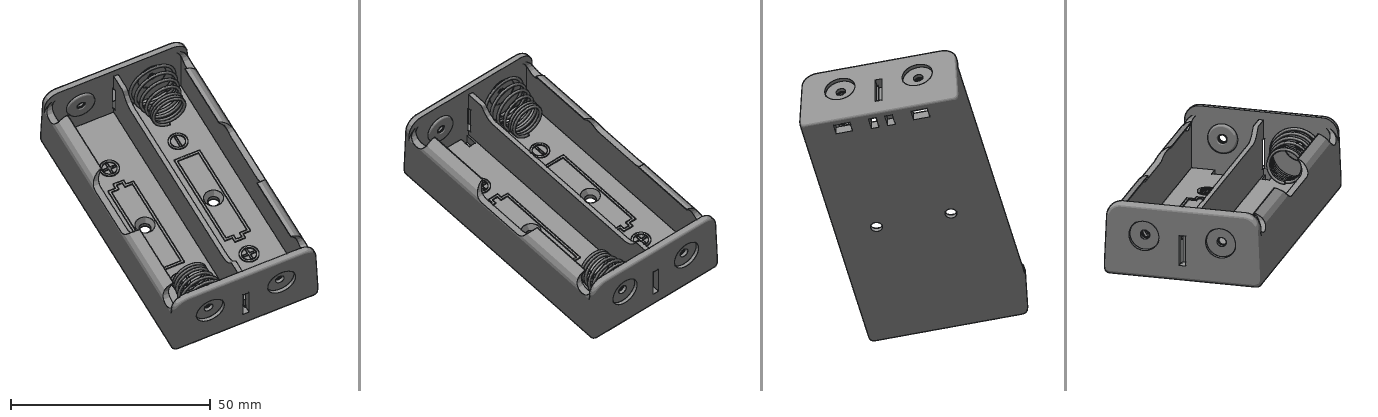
import cadquery as cq
import math

LENGTH = 75.0
WIDTH = 41.0
HEIGHT = 19.2
WALL = 1.95
FLOOR = 2.5
INNER_X = LENGTH / 2 - WALL
INNER_Y = 18.15
END_EDGE_FILLET = 1.0
BOTTOM_ROUND = 1.5
TOP_CORNER_RADIUS = 4.0

WALL_TOP = 13.5
WALL_TOP_HALF = 20.0
LIP_REACH = 3.6
LIP_BULGE = 0.75
LIP_TOP = WALL_TOP + LIP_REACH
LIP_TIP_Y = WALL_TOP_HALF - LIP_REACH
VALLEY_Z = 13.95
LIP_EDGE = 0.2
LIP_SPRING_Z = VALLEY_Z

SIDE_DRAFT = (WIDTH / 2 - WALL_TOP_HALF) / (WALL_TOP - FLOOR)
PLATE_TOP_HALF = WIDTH / 2 - SIDE_DRAFT * (HEIGHT - FLOOR)

WALL_VALLEY_TOP_X = 10.8
WALL_VALLEY_SLOPE = 54.0
WALL_VALLEY_FILLET = 3.0

FINGER_NOTCH_RADIUS = 2.9
FINGER_NOTCH_X = INNER_X - FINGER_NOTCH_RADIUS

DIVIDER_THICKNESS = 1.3
DIVIDER_STEP_X = 30.5
DIVIDER_SLOPE = 51.0
DIVIDER_TOP_FILLET = 1.0
DIVIDER_FOOT_FILLET = 5.0

TERMINAL_Y = 10.0
TERMINAL_Z = 11.1
RECESS_DIAMETER = 7.8
RECESS_DEPTH = 1.0
TERMINAL_HOLE_DIAMETER = 2.4
SLOT_WIDTH = 1.7
SLOT_BOTTOM = 4.1
SLOT_TOP = 12.1
SLOT_DEPTH = 2.8

CELL_Y = 9.6
SCREW_HOLE_DIAMETER = 3.0
SCREW_SINK_DIAMETER = 5.0
SCREW_SINK_DEPTH = 1.35
WIRE_HOLE_LENGTH = 3.2
WIRE_HOLE_Y = (1.1, 3.1)
TAB_HOLE_LENGTH = 2.85
TAB_HOLE_Y = (7.9, 12.1)

MARK_HEIGHT = 0.3
MARK_X = 19.95
RING_DIAMETER = 5.0
RING_INNER_DIAMETER = 3.8
SIGN_LENGTH = 3.45
SIGN_WIDTH = 0.5
CELL_OUTLINE_LENGTH = 28.6
CELL_OUTLINE_WIDTH = 7.2
CELL_NUB_LENGTH = 1.4
CELL_NUB_WIDTH = 3.0
CELL_OUTLINE_STROKE = 0.7

TERMINAL_DIAMETER = 7.8
TERMINAL_BORE_DIAMETER = 2.0
WASHER_THICKNESS = 0.3
CONTACT_THICKNESS = 0.8
CONTACT_EDGE_FILLET = 0.6
CONTACT_MOUTH_FILLET = 0.3
CONTACT_SINK_DEPTH = 0.5

SPRING_Y = 9.4
SPRING_Z = 9.6
WIRE_DIAMETER = 0.75
SPRING_BASE_RADIUS = 6.7
SPRING_TIP_RADIUS = 4.4
CONE_TURNS = 4.5
CONE_PITCH = 1.99
TIP_TURNS = 2.5
TIP_PITCH = 0.8
POINTS_PER_TURN = 12


def box_between(x, y, z):
    """Box spanning the given (low, high) pairs."""
    size = [high - low for low, high in (x, y, z)]
    return cq.Workplane("XY").box(*size, centered=False).translate((x[0], y[0], z[0]))


def x_cylinder(diameter, x_start, length, y, z):
    """Cylinder along X; a negative length runs towards -X."""
    return cq.Workplane("YZ", origin=(x_start, y, z)).circle(diameter / 2).extrude(length)


def add_bottom_round(outline):
    """Continue an outline from the draft line down to the underside and in to the middle plane."""
    half = WIDTH / 2
    diagonal = BOTTOM_ROUND * (1 - math.sqrt(0.5))
    return (
        outline.lineTo(half, FLOOR)
        .spline(
            [(half - diagonal, diagonal), (half - BOTTOM_ROUND, 0)],
            tangents=[(0, -1), (-1, 0)],
            includeCurrent=True,
        )
        .lineTo(0, 0)
    )


def extrude_both_halves(outline, length):
    """Close a +Y half outline, extrude it along X and add its mirror image."""
    half = outline.close().extrude(length)
    return half.union(half.mirror("XZ")).clean()


def end_plates():
    """Both rounded end walls, cut from one drafted block."""
    outline = cq.Workplane("YZ", origin=(-LENGTH / 2, 0, 0)).moveTo(0, HEIGHT).lineTo(PLATE_TOP_HALF, HEIGHT)
    block = extrude_both_halves(add_bottom_round(outline), LENGTH)
    block = block.edges("|X").edges(">Z").fillet(TOP_CORNER_RADIUS)
    block = block.faces("<X or >X").edges().fillet(END_EDGE_FILLET)
    return block.cut(box_between((-INNER_X, INNER_X), (-WIDTH, WIDTH), (-0.75, HEIGHT + 0.75)))


def tray():
    """Floor and side walls between the end plates, with each wall curling into a lip."""
    arc_middle = LIP_REACH / 2 + LIP_BULGE * math.sqrt(0.5)
    outline = (
        cq.Workplane("YZ", origin=(-INNER_X, 0, 0))
        .moveTo(0, FLOOR)
        .lineTo(INNER_Y, FLOOR)
        .lineTo(INNER_Y, LIP_SPRING_Z)
        .tangentArcPoint((LIP_TIP_Y, LIP_TOP - LIP_EDGE), relative=False)
        .lineTo(LIP_TIP_Y, LIP_TOP)
        .threePointArc(
            (LIP_TIP_Y + arc_middle, WALL_TOP + arc_middle),
            (WALL_TOP_HALF, WALL_TOP),
        )
    )
    return extrude_both_halves(add_bottom_round(outline), 2 * INNER_X)


def wall_valley():
    """Cutter for the sloped opening in the middle of both side walls."""
    run = (LIP_TOP - VALLEY_Z) / math.tan(math.radians(WALL_VALLEY_SLOPE))
    foot_x = WALL_VALLEY_TOP_X - run
    return (
        cq.Workplane("XZ", origin=(0, WIDTH / 2, 0))
        .polyline([
            (-WALL_VALLEY_TOP_X, LIP_TOP), (-foot_x, VALLEY_Z),
            (foot_x, VALLEY_Z), (WALL_VALLEY_TOP_X, LIP_TOP),
        ])
        .close()
        .extrude(WIDTH)
        .edges("|Y").edges("<Z")
        .fillet(WALL_VALLEY_FILLET)
    )


def finger_notch(side):
    """Cutter for the U-shaped notches next to one end wall."""
    x = side * FINGER_NOTCH_X
    r = FINGER_NOTCH_RADIUS
    centre_z = WALL_TOP + r
    return (
        cq.Workplane("XZ", origin=(0, WIDTH / 2, 0))
        .moveTo(x - r, HEIGHT)
        .lineTo(x - r, centre_z)
        .threePointArc((x, WALL_TOP), (x + r, centre_z))
        .lineTo(x + r, HEIGHT)
        .close()
        .extrude(WIDTH)
    )


def divider():
    """Thin wall between the two bays, low in the middle and stepped up at both ends."""
    run = (LIP_TOP - VALLEY_Z) / math.tan(math.radians(DIVIDER_SLOPE))
    foot_x = DIVIDER_STEP_X - run
    wall = (
        cq.Workplane("XZ", origin=(0, DIVIDER_THICKNESS / 2, 0))
        .polyline([
            (-INNER_X, FLOOR), (INNER_X, FLOOR), (INNER_X, LIP_TOP), (DIVIDER_STEP_X, LIP_TOP),
            (foot_x, VALLEY_Z), (-foot_x, VALLEY_Z), (-DIVIDER_STEP_X, LIP_TOP), (-INNER_X, LIP_TOP),
        ])
        .close()
        .extrude(DIVIDER_THICKNESS)
    )
    for x, z, radius in (
        (DIVIDER_STEP_X, LIP_TOP, DIVIDER_TOP_FILLET),
        (foot_x, VALLEY_Z, DIVIDER_FOOT_FILLET),
    ):
        for side in (-1, 1):
            corner = cq.selectors.NearestToPointSelector((side * x, 0, z))
            wall = wall.edges("|Y").edges(corner).fillet(radius)
    return wall


def cell_outline(y, nub_side):
    """Raised battery outline on the floor, its nub pointing along nub_side * X."""
    nub_end = (CELL_OUTLINE_LENGTH + CELL_NUB_LENGTH) / 2
    shoulder = nub_end - CELL_NUB_LENGTH
    half = CELL_OUTLINE_WIDTH / 2
    nub_half = CELL_NUB_WIDTH / 2
    outline = (
        cq.Workplane("XY", origin=(0, y, FLOOR))
        .polyline([
            (nub_side * px, py) for px, py in (
                (-nub_end, -half), (shoulder, -half), (shoulder, -nub_half), (nub_end, -nub_half),
                (nub_end, nub_half), (shoulder, nub_half), (shoulder, half), (-nub_end, half),
            )
        ])
        .close()
    )
    solid = outline.extrude(MARK_HEIGHT)
    inside = solid.faces("<Z").wires().toPending().offset2D(-CELL_OUTLINE_STROKE, "intersection")
    return solid.cut(inside.extrude(MARK_HEIGHT, combine=False))


def polarity_mark(x, y, positive):
    """Raised ring with a plus or a minus sign in it."""
    plane = cq.Workplane("XY", origin=(x, y, FLOOR))
    mark = plane.circle(RING_DIAMETER / 2).circle(RING_INNER_DIAMETER / 2).extrude(MARK_HEIGHT)
    mark = mark.union(plane.rect(SIGN_LENGTH, SIGN_WIDTH).extrude(MARK_HEIGHT))
    if positive:
        mark = mark.union(plane.rect(SIGN_WIDTH, SIGN_LENGTH).extrude(MARK_HEIGHT))
    return mark


def screw_hole(y):
    """Cutter for a countersunk hole through the floor."""
    sink_bottom = FLOOR - SCREW_SINK_DEPTH
    hole = cq.Workplane("XY", origin=(0, y, 0)).circle(SCREW_HOLE_DIAMETER / 2).extrude(FLOOR)
    sink = (
        cq.Workplane("XY", origin=(0, y, sink_bottom))
        .circle(SCREW_HOLE_DIAMETER / 2)
        .workplane(offset=SCREW_SINK_DEPTH)
        .circle(SCREW_SINK_DIAMETER / 2)
        .loft()
    )
    return hole.union(sink)


def floor_windows(side):
    """Cutters for the wire hole and tab hole of one bay, both against the +X end wall."""
    cutters = []
    for length, span in ((WIRE_HOLE_LENGTH, WIRE_HOLE_Y), (TAB_HOLE_LENGTH, TAB_HOLE_Y)):
        y = sorted(side * edge for edge in span)
        cutters.append(box_between((INNER_X - length, INNER_X), y, (0, FLOOR)))
    return cutters


def end_wall_cutters(side):
    """Recesses, terminal holes and tab slot of one end wall."""
    outer = side * LENGTH / 2
    cutters = []
    for y in (-TERMINAL_Y, TERMINAL_Y):
        cutters.append(x_cylinder(RECESS_DIAMETER, outer, -side * RECESS_DEPTH, y, TERMINAL_Z))
        cutters.append(x_cylinder(TERMINAL_HOLE_DIAMETER, outer, -side * WALL, y, TERMINAL_Z))
    slot_x = sorted((outer, outer - side * SLOT_DEPTH))
    cutters.append(box_between(slot_x, (-SLOT_WIDTH / 2, SLOT_WIDTH / 2), (SLOT_BOTTOM, SLOT_TOP)))
    return cutters


def make_housing():
    walls = tray().cut(wall_valley())
    for side in (-1, 1):
        walls = walls.cut(finger_notch(side))
    body = end_plates().union(walls).union(divider())

    for side in (-1, 1):
        y = side * CELL_Y
        cutters = end_wall_cutters(side) + floor_windows(side)
        cutters.append(screw_hole(y))
        for cutter in cutters:
            body = body.cut(cutter)
        body = body.union(cell_outline(y, side))
        body = body.union(polarity_mark(side * MARK_X, y, True))
        body = body.union(polarity_mark(-side * MARK_X, y, False))
    return body.solids()


def terminal_disc(x_side, y, thickness):
    """Disc with a central bore, lying on the inner face of the end wall at x_side * X."""
    x = x_side * INNER_X
    disc = x_cylinder(TERMINAL_DIAMETER, x, -x_side * thickness, y, TERMINAL_Z)
    return disc.cut(x_cylinder(TERMINAL_BORE_DIAMETER, x, -x_side * thickness, y, TERMINAL_Z)).solids()


def make_washer(side):
    """Thin flat terminal behind the spring that stands at side * X."""
    return terminal_disc(side, -side * TERMINAL_Y, WASHER_THICKNESS)


def make_contact(side):
    """Rounded button on the end wall at side * X, its bore widened at the front."""
    y = side * TERMINAL_Y
    face_x = side * (INNER_X - CONTACT_THICKNESS)
    rim = cq.selectors.RadiusNthSelector(-1)
    button = terminal_disc(side, y, CONTACT_THICKNESS)
    button = button.faces("<X" if side > 0 else ">X").edges(rim).fillet(CONTACT_EDGE_FILLET)
    button = button.cut(x_cylinder(TERMINAL_HOLE_DIAMETER, face_x, side * CONTACT_SINK_DEPTH, y, TERMINAL_Z))
    mouth = cq.selectors.RadiusNthSelector(0)
    return button.faces("<X" if side > 0 else ">X").edges(mouth).fillet(CONTACT_MOUTH_FILLET).solids()


def spring_point(turn):
    """Wire centre of the +X spring after the given number of turns from the wall."""
    cone = min(turn, CONE_TURNS)
    tip = turn - cone
    radius = SPRING_BASE_RADIUS - (SPRING_BASE_RADIUS - SPRING_TIP_RADIUS) * cone / CONE_TURNS
    angle = -math.pi / 2 - 2 * math.pi * turn
    x = INNER_X - WIRE_DIAMETER / 2 - CONE_PITCH * cone - TIP_PITCH * tip
    return cq.Vector(x, radius * math.cos(angle) - SPRING_Y, radius * math.sin(angle) + SPRING_Z)


def make_spring(side):
    """Conical coil with a close-wound tip, standing on the end wall at side * X."""
    steps = round((CONE_TURNS + TIP_TURNS) * POINTS_PER_TURN)
    points = [spring_point(i / POINTS_PER_TURN) for i in range(steps + 1)]
    path = cq.Workplane("XY").add(cq.Edge.makeSpline(points)).toPending()
    direction = path.val().tangentAt(0)
    start = cq.Plane(origin=points[0], xDir=(1, 0, 0), normal=direction)
    spring = cq.Workplane(start).circle(WIRE_DIAMETER / 2).sweep(path, isFrenet=True)
    return spring if side > 0 else spring.rotate((0, 0, 0), (0, 0, 1), 180)


housing = make_housing()
contacts = [make_contact(side) for side in (-1, 1)]
washers = [make_washer(side) for side in (-1, 1)]
springs = [make_spring(side) for side in (-1, 1)]

result = cq.Compound.makeCompound(
    [housing.val()] + [body.val() for body in contacts + washers + springs]
)